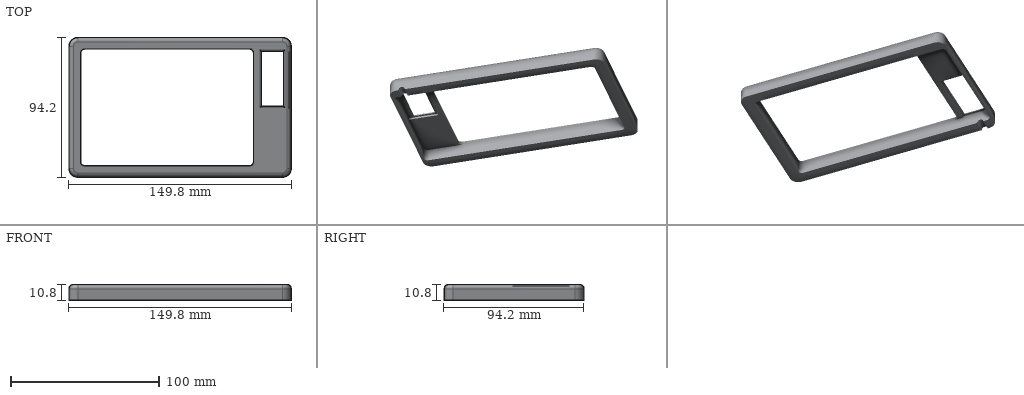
import cadquery as cq

LENGTH = 149.77
WIDTH = 94.2
HEIGHT = 10.81
CORNER_RADIUS = 6.0
TOP_FILLET = 3.0

PLATE_THICKNESS = 2.4
CAVITY_CEILING = HEIGHT - PLATE_THICKNESS
RIGHT_WALL = 1.5
CAVITY_RADIUS = 3.0

WINDOW_X = (-66.9, 49.3)
WINDOW_Y = (-39.2, 39.2)
WINDOW_RADIUS = 2.5
CAVITY_X = (WINDOW_X[0], LENGTH / 2 - RIGHT_WALL)
CAVITY_Y = WINDOW_Y

SLOT_X = (54.8, 69.5)
SLOT_Y = (0.9, 37.6)
SLOT_RIM_RADIUS = 1.1
SLOT_PLATE_THICKNESS = 1.2
SLOT_LEDGE = CAVITY_Y[1] - SLOT_Y[1]

NOTCH_DIAMETER = 4.4
NOTCH_X = 65.4


def block(x_range, y_range, z_range):
    """Box spanning the given ranges."""
    size = [high - low for low, high in (x_range, y_range, z_range)]
    corner = (x_range[0], y_range[0], z_range[0])
    return cq.Workplane("XY").box(*size, centered=False).translate(corner)


def outer_body():
    body = cq.Workplane("XY").box(LENGTH, WIDTH, HEIGHT, centered=(True, True, False))
    return body.edges("|Z").fillet(CORNER_RADIUS).faces(">Z").edges().fillet(TOP_FILLET)


def cavity():
    return block(CAVITY_X, CAVITY_Y, (0, CAVITY_CEILING)).edges("|Z").fillet(CAVITY_RADIUS)


def window():
    return block(WINDOW_X, WINDOW_Y, (0, HEIGHT)).edges("|Z").fillet(WINDOW_RADIUS)


def slot_recess():
    """Pocket in the underside of the plate that thins it around the slot."""
    recess_x = (SLOT_X[0] - SLOT_LEDGE, CAVITY_X[1])
    recess_y = (SLOT_Y[0] - SLOT_LEDGE, CAVITY_Y[1])
    recess = block(recess_x, recess_y, (0, HEIGHT - SLOT_PLATE_THICKNESS))
    return recess.edges("|Z and >X and >Y").fillet(CAVITY_RADIUS)


def cut_slot(body):
    """Cut the slot and round its upper rim."""
    body = body.cut(block(SLOT_X, SLOT_Y, (0, HEIGHT)))
    margin = SLOT_RIM_RADIUS / 2
    rim = cq.selectors.BoxSelector(
        (SLOT_X[0] - margin, SLOT_Y[0] - margin, HEIGHT - margin),
        (SLOT_X[1] + margin, SLOT_Y[1] + margin, HEIGHT + margin),
    )
    return body.edges(rim).fillet(SLOT_RIM_RADIUS)


def wall_notch():
    notch = cq.Workplane("XZ").center(NOTCH_X, 0).circle(NOTCH_DIAMETER / 2)
    return notch.extrude(-WIDTH / 2)


frame = outer_body().cut(cavity()).cut(window()).cut(slot_recess())
result = cut_slot(frame).cut(wall_notch())